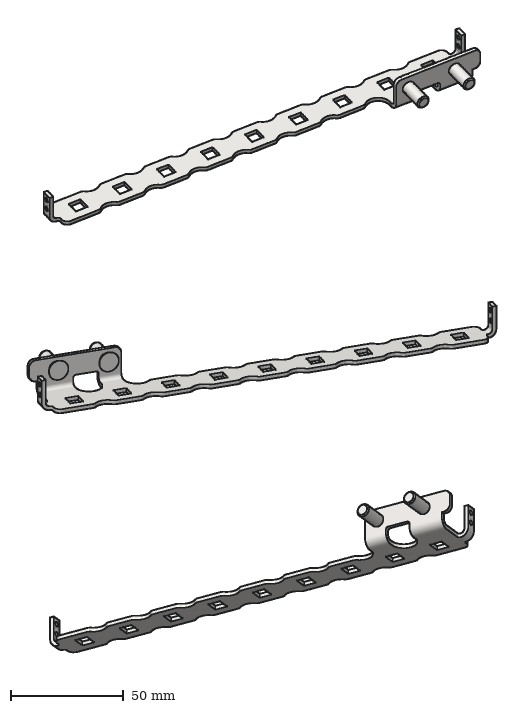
import cadquery as cq
import math

thickness = 2.0
bend_inner = 2.0
bend_outer = bend_inner + thickness

strip_width = 15.0
strip_length = 207.0
strip_corner_radius = 3.0
pitch = 23.0
hole_count = 9
square_side = 6.0

scallop_radius = 6.0
scallop_offset = 11.5
scallop_edge_radius = 2.5

overall_length = 217
tab_width = 5.0
tab_height = 15.0
tab_root_radius = 1.0
tab_hole_diameter = 2.2
tab_hole_spacing = 5.0
tab_top_hole_drop = 2.8

flange_outer_x = 16.7
flange_inner_x = flange_outer_x - thickness
flange_straight = 13
flange_height = bend_outer + flange_straight
flange_y_max = 107.6
flange_corner_radius = 3.0
relief_height = 6.7
window_corner_radius = 1.3

pin_diameter = 6.0
pin_head_diameter = 9.3
pin_head_base_diameter = 8.0
pin_head_height = 1.5
pin_tip_x = 29.5
pin_tip_chamfer = 0.7
pin_spacing = 24.0
pin_first_y = 70.0
pin_z = 11.0

edge_margin = 0.2

strip_end_y = strip_length / 2
scallop_ys = [(i - (hole_count - 2) / 2) * pitch for i in range(hole_count - 1)]
hole_ys = [(i - (hole_count - 1) / 2) * pitch for i in range(hole_count)]
flange_y_min = scallop_ys[-2] + scallop_radius
flange_length = flange_y_max - flange_y_min
pin_ys = [pin_first_y, pin_first_y + pin_spacing]


def block(x_min, x_max, y_min, y_max, z_min, z_max):
    """Box between the given limits."""
    size = (x_max - x_min, y_max - y_min, z_max - z_min)
    return cq.Workplane("XY").box(*size, centered=False).translate((x_min, y_min, z_min))


def bent_section(plane, start, outer, height):
    """L section: a flat from start, a round bend, and an upright to height whose outer face is at outer."""
    inner = outer - thickness
    bend_start = outer - bend_outer
    turn = math.sqrt(0.5)
    return (
        cq.Workplane(plane)
        .moveTo(start, 0)
        .lineTo(bend_start, 0)
        .threePointArc((bend_start + bend_outer * turn, bend_outer * (1 - turn)), (outer, bend_outer))
        .lineTo(outer, height)
        .lineTo(inner, height)
        .lineTo(inner, bend_outer)
        .threePointArc((bend_start + bend_inner * turn, bend_outer - bend_inner * turn), (bend_start, thickness))
        .lineTo(start, thickness)
        .close()
    )


def make_strip():
    """Flat strip, with every corner rounded except the one that runs into the flange."""
    half = strip_width / 2
    strip = block(-half, half, -strip_end_y, strip_end_y, 0, thickness)
    return strip.edges("|Z and (<X or <Y)").fillet(strip_corner_radius)


def make_flange():
    """Bent flange with rounded corners, relieved below its overhang past the strip end."""
    flange = bent_section("XZ", 0, flange_outer_x, flange_height).extrude(-flange_length)
    flange = flange.translate((0, flange_y_min, 0))
    flange = flange.edges("|X and >Z").fillet(flange_corner_radius)
    web = block(0, scallop_offset, scallop_ys[-2], strip_end_y, 0, thickness)
    relief = block(0, flange_outer_x, strip_end_y, flange_y_max, 0, relief_height)
    flange = flange.cut(relief).union(web)
    lower_corner = cq.selectors.BoxSelector(
        (flange_inner_x, flange_y_max - edge_margin, relief_height - edge_margin),
        (flange_outer_x, flange_y_max + edge_margin, relief_height + edge_margin),
    )
    return flange.edges(lower_corner).fillet(flange_corner_radius)


def make_tab():
    """Upturned tab at the +Y end, with two holes and fillets at its root."""
    half = tab_width / 2
    end = overall_length / 2
    tab = bent_section("YZ", strip_end_y - thickness, end, tab_height).extrude(half, both=True)
    top_hole_z = tab_height - tab_top_hole_drop
    holes = (
        cq.Workplane("XZ", origin=(0, end, 0))
        .pushPoints([(0, top_hole_z), (0, top_hole_z - tab_hole_spacing)])
        .circle(tab_hole_diameter / 2)
        .extrude(bend_outer)
    )
    tab = tab.cut(holes)
    for side in (-1, 1):
        edge = side * half
        root = (
            cq.Workplane("XY")
            .moveTo(edge, strip_end_y)
            .lineTo(edge + side * tab_root_radius, strip_end_y)
            .radiusArc((edge, strip_end_y + tab_root_radius), side * tab_root_radius)
            .close()
            .extrude(thickness)
        )
        tab = tab.union(root)
    return tab


def cut_scallops(bracket):
    """Cut the scallops along both long edges and round the corners of their mouths."""
    bracket = bracket.cut(
        cq.Workplane("XY")
        .pushPoints([(side * scallop_offset, y) for side in (-1, 1) for y in scallop_ys])
        .circle(scallop_radius)
        .extrude(thickness)
    )
    half = strip_width / 2
    for edge in (-half, half):
        mouth = cq.selectors.BoxSelector(
            (edge - edge_margin, scallop_ys[0] - pitch / 2, -edge_margin),
            (edge + edge_margin, scallop_ys[-1] + pitch / 2, thickness + edge_margin),
        )
        bracket = bracket.edges("|Z").edges(mouth).fillet(scallop_edge_radius)
    return bracket


def cut_window(bracket):
    """Carry the scallop beside the flange on through the bend and the foot of the upright."""
    window_y = scallop_ys[-1]
    window = block(
        scallop_offset, flange_outer_x, window_y - scallop_radius, window_y + scallop_radius, 0, relief_height
    ).edges("|X and >Z").fillet(window_corner_radius)
    return bracket.cut(window)


def cut_square_holes(bracket):
    """Cut the row of square holes along the strip."""
    squares = (
        cq.Workplane("XY")
        .pushPoints([(0, y) for y in hole_ys])
        .rect(square_side, square_side)
        .extrude(thickness)
    )
    return bracket.cut(squares)


def cut_pin_holes(bracket):
    """Cut the holes in the flange that the pins fill."""
    pin_holes = (
        cq.Workplane("YZ", origin=(flange_inner_x, 0, 0))
        .pushPoints([(y, pin_z) for y in pin_ys])
        .circle(pin_diameter / 2)
        .extrude(thickness)
    )
    return bracket.cut(pin_holes)


def make_bracket():
    """Whole sheet-metal bracket in one piece."""
    tab = make_tab()
    bracket = make_strip().union(make_flange()).union(tab).union(tab.mirror("XZ"))
    bracket = cut_scallops(bracket)
    bracket = cut_window(bracket)
    bracket = cut_square_holes(bracket)
    return cut_pin_holes(bracket)


def make_pin(y):
    """Pin along X with a chamfered tip and a head that tapers towards the inner flange face."""
    head_x = flange_inner_x - pin_head_height
    shank = (
        cq.Workplane("YZ", origin=(head_x, y, pin_z))
        .circle(pin_diameter / 2)
        .extrude(pin_tip_x - head_x)
        .faces(">X")
        .chamfer(pin_tip_chamfer)
    )
    head = (
        cq.Workplane("YZ", origin=(head_x, y, pin_z))
        .circle(pin_head_diameter / 2)
        .workplane(offset=pin_head_height)
        .circle(pin_head_base_diameter / 2)
        .loft()
    )
    return shank.union(head)


bracket = make_bracket()
pins = [make_pin(y) for y in pin_ys]

result = cq.Compound.makeCompound([bracket.val(), *[pin.val() for pin in pins]])